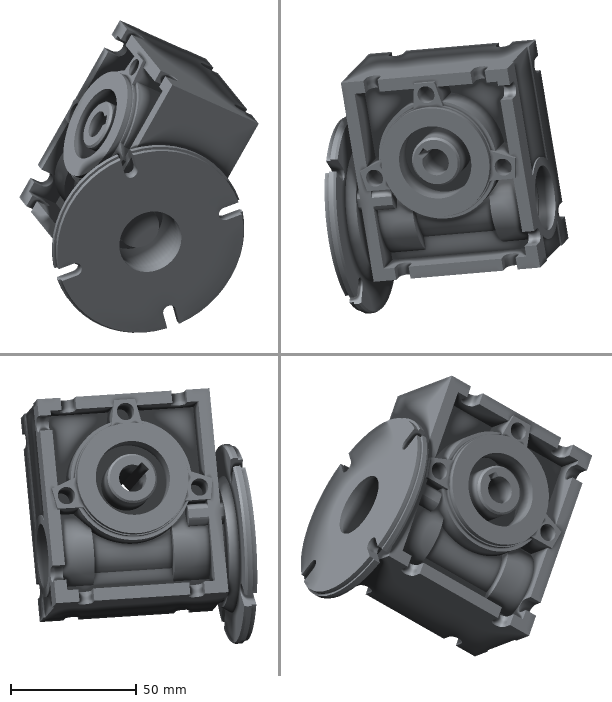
import cadquery as cq
import math

LEAN = 30.5
CENTRE_DISTANCE = 25.0

BOX_LENGTH = 70.0
BOX_WIDTH = 42.0
BOX_TOP = 60.0
BOX_BOTTOM = -23.0
WALL = 5.0
WEB_THICKNESS = 16.0
HALF_LENGTH = BOX_LENGTH / 2
HALF_WIDTH = BOX_WIDTH / 2
HALF_WEB = WEB_THICKNESS / 2
BOX_HEIGHT = BOX_TOP - BOX_BOTTOM
BOX_MIDDLE = (BOX_TOP + BOX_BOTTOM) / 2

SLOT_WIDTH = 6.0
SLOT_DEPTH = 7.0
SLOT_SPACING_X = 45.0
SIDE_SLOT_HEIGHTS = (50.25, -10.75)

RECESS_WIDTH = 22.0
RECESS_DEPTH = 0.7

TUBE_END_RADIUS = 16.5
SPIGOT_RADIUS = 17.0
TUBE_MIDDLE_RADIUS = 12.5
TUBE_MIDDLE_START = -17.0
TUBE_MIDDLE_END = 15.4
WORM_BORE_DIAMETER = 20.0
BEARING_DIAMETER = 26.0
BEARING_SEAT_DEPTH = 15.0
RING_GROOVE_DIAMETER = 27.0
RING_GROOVE_START = 5.8
RING_GROOVE_WIDTH = 1.2

BOSS_RADIUS = 24.5
BOSS_FACE = 21.0
COLLAR_RADIUS = 23.0
COLLAR_FACE = 22.5
RING_DIAMETER = 45.0
RING_FACE = 25.0
OUTPUT_BORE_DIAMETER = 30.0
CAVITY_RADIUS = 20.5
CAVITY_HALF_WIDTH = 15.0

EAR_ANGLES = (90.0, -10.5, 190.5)
EAR_BOLT_RADIUS = 27.5
EAR_HOLE_DIAMETER = 7.0
EAR_TIP_RADIUS = 32.4
EAR_TIP_WIDTH = 8.5
EAR_ROOT_RADIUS = 20.0
EAR_ROOT_WIDTH = 13.3

STANDOFF_RADIUS = 4.4
STANDOFF_CIRCLE_RADIUS = 19.6
STANDOFF_ANGLES = (30.0, 150.0, 270.0)
STANDOFF_START = 21.8
STANDOFF_END = 36.3

FLANGE_RADIUS = 40.0
FLANGE_LIP_RADIUS = 39.0
FLANGE_DISC_START = 40.0
FLANGE_LIP_START = 43.0
FLANGE_END = 45.0
FLANGE_CHAMFER_LENGTH = 1.0
FLANGE_CHAMFER_HEIGHT = 0.5
CONE_START_RADIUS = 25.0
CONE_END_RADIUS = 27.4
FLANGE_BORE_DIAMETER = 26.0
FLANGE_SLOT_WIDTH = 5.5
FLANGE_SLOT_CIRCLE_RADIUS = 32.5
FLANGE_SLOT_ANGLES = (45.0, 135.0, 225.0, 315.0)

HUB_DIAMETER = 20.0
HUB_HALF_LENGTH = 24.5
HUB_CHAMFER = 0.8
OUTPUT_SHAFT_BORE = 11.0
KEY_WIDTH = 4.0
KEY_TOP = 7.3
KEY_ANGLE = 40.0
WHEEL_RADIUS = 19.4
WHEEL_WIDTH = 8.8
WHEEL_DISC_RADIUS = 14.0
WHEEL_DISC_WIDTH = 14.0

WORM_TIP_START = -26.5
WORM_TIP_RADIUS = 5.0
WORM_TIP_CHAMFER = 0.3
WORM_RADIUS = 6.7
WORM_CONE_START = 14.3
WORM_SHOULDER_START = 16.0
WORM_SHOULDER_RADIUS = 8.4
WORM_END = 30.0

SIDES = (-1, 1)


def worm_rod(start, end, radius):
    """Cylinder along the worm axis."""
    return cq.Workplane("YZ", origin=(start, 0, 0)).circle(radius).extrude(end - start)


def output_rod(half_length, radius):
    """Cylinder along the output axis, centred on the middle plane."""
    plane = cq.Workplane("XZ", origin=(0, 0, CENTRE_DISTANCE))
    return plane.circle(radius).extrude(half_length, both=True)


def box_shell():
    """Box with a deep pocket on each side, leaving a web in the middle."""
    box = cq.Workplane("XY").box(BOX_LENGTH, BOX_WIDTH, BOX_HEIGHT)
    pocket_depth = HALF_WIDTH - HALF_WEB
    pocket = cq.Workplane("XY").box(BOX_LENGTH - 2 * WALL, pocket_depth, BOX_HEIGHT - 2 * WALL)
    for side in SIDES:
        box = box.cut(pocket.translate((0, side * (HALF_WIDTH - pocket_depth / 2), 0)))
    return box.translate((0, 0, BOX_MIDDLE))


def screw_ear():
    """Tapered ear column through the web to both collar faces, pointing along +X."""
    outline = [
        (EAR_ROOT_RADIUS, -EAR_ROOT_WIDTH / 2),
        (EAR_TIP_RADIUS, -EAR_TIP_WIDTH / 2),
        (EAR_TIP_RADIUS, EAR_TIP_WIDTH / 2),
        (EAR_ROOT_RADIUS, EAR_ROOT_WIDTH / 2),
    ]
    return cq.Workplane("XZ").polyline(outline).close().extrude(COLLAR_FACE, both=True)


def add_ears(body):
    """Ears at both ends of the output boss; each pair is one column through the web."""
    for angle in EAR_ANGLES:
        ear = screw_ear().rotate((0, 0, 0), (0, 1, 0), -angle)
        body = body.union(ear.translate((0, 0, CENTRE_DISTANCE)))
    return body


def cut_ear_holes(body):
    """Blind screw holes in the ears, down to the web."""
    depth = COLLAR_FACE - HALF_WEB
    for angle in EAR_ANGLES:
        x = EAR_BOLT_RADIUS * math.cos(math.radians(angle))
        z = CENTRE_DISTANCE + EAR_BOLT_RADIUS * math.sin(math.radians(angle))
        hole = cq.Workplane("XZ").circle(EAR_HOLE_DIAMETER / 2).extrude(depth)
        body = body.cut(hole.translate((x, -HALF_WEB, z)))
        body = body.cut(hole.translate((x, COLLAR_FACE, z)))
    return body


def standoffs():
    """Three bosses along X, flush with the box sides and bottom, that stand proud of the +X face."""
    bosses = cq.Workplane("YZ", origin=(STANDOFF_START, 0, 0))
    centres = []
    for angle in STANDOFF_ANGLES:
        y = STANDOFF_CIRCLE_RADIUS * math.cos(math.radians(angle))
        z = STANDOFF_CIRCLE_RADIUS * math.sin(math.radians(angle))
        centres.append((y, z))
    bosses = bosses.pushPoints(centres).circle(STANDOFF_RADIUS).extrude(STANDOFF_END - STANDOFF_START)
    limits = cq.Workplane("XY").box(4 * STANDOFF_END, BOX_WIDTH, BOX_HEIGHT)
    return bosses.intersect(limits.translate((0, 0, BOX_MIDDLE)))


def cut_rim_slots(body):
    """Round-ended slots through the top and bottom walls and the -X wall."""
    slot_length = 2 * SLOT_DEPTH
    for side in SIDES:
        edge = side * HALF_WIDTH
        for x in (-SLOT_SPACING_X / 2, SLOT_SPACING_X / 2):
            for base in (BOX_BOTTOM, BOX_TOP - WALL):
                slot = cq.Workplane("XY", origin=(x, edge, base)).slot2D(slot_length, SLOT_WIDTH, 90)
                body = body.cut(slot.extrude(WALL))
        for z in SIDE_SLOT_HEIGHTS:
            slot = cq.Workplane("YZ", origin=(-HALF_LENGTH, edge, z)).slot2D(slot_length, SLOT_WIDTH)
            body = body.cut(slot.extrude(WALL))
    return body


def cut_face_recess(body):
    """Shallow band down the -X face, interrupted by the round pad at the bearing seat."""
    band = cq.Workplane("XY").box(RECESS_DEPTH, RECESS_WIDTH, BOX_HEIGHT)
    band = band.translate((-HALF_LENGTH + RECESS_DEPTH / 2, 0, BOX_MIDDLE))
    return body.cut(band.cut(worm_rod(-HALF_LENGTH, 0, TUBE_END_RADIUS)))


def cut_worm_bore(body):
    """Through bore, a bearing seat at each end and a retaining ring groove at the -X end."""
    body = body.cut(worm_rod(-HALF_LENGTH, STANDOFF_END, WORM_BORE_DIAMETER / 2))
    body = body.cut(worm_rod(-HALF_LENGTH, -HALF_LENGTH + BEARING_SEAT_DEPTH, BEARING_DIAMETER / 2))
    body = body.cut(worm_rod(HALF_LENGTH - BEARING_SEAT_DEPTH, STANDOFF_END, BEARING_DIAMETER / 2))
    groove = -HALF_LENGTH + RING_GROOVE_START
    return body.cut(worm_rod(groove, groove + RING_GROOVE_WIDTH, RING_GROOVE_DIAMETER / 2))


def make_housing():
    """Box, worm tube, output bosses, ears and standoffs, with all their openings."""
    body = box_shell()
    pocket_end = HALF_LENGTH - WALL
    body = body.union(worm_rod(-pocket_end, TUBE_MIDDLE_START, TUBE_END_RADIUS))
    body = body.union(worm_rod(TUBE_MIDDLE_START, TUBE_MIDDLE_END, TUBE_MIDDLE_RADIUS))
    body = body.union(worm_rod(TUBE_MIDDLE_END, STANDOFF_END, SPIGOT_RADIUS))
    body = body.union(output_rod(BOSS_FACE, BOSS_RADIUS))
    body = body.union(output_rod(COLLAR_FACE, COLLAR_RADIUS))
    body = body.union(output_rod(RING_FACE, RING_DIAMETER / 2))
    body = add_ears(body)
    body = body.union(standoffs())
    body = cut_ear_holes(body)
    body = body.cut(output_rod(RING_FACE, OUTPUT_BORE_DIAMETER / 2))
    body = body.cut(output_rod(CAVITY_HALF_WIDTH, CAVITY_RADIUS))
    body = cut_rim_slots(body)
    body = cut_face_recess(body)
    return cut_worm_bore(body)


def make_flange():
    """Disc on a short cone, with four open bolt slots."""
    bore = FLANGE_BORE_DIAMETER / 2
    profile = [
        (STANDOFF_END, bore),
        (STANDOFF_END, CONE_START_RADIUS),
        (FLANGE_DISC_START, CONE_END_RADIUS),
        (FLANGE_DISC_START, FLANGE_RADIUS - FLANGE_CHAMFER_HEIGHT),
        (FLANGE_DISC_START + FLANGE_CHAMFER_LENGTH, FLANGE_RADIUS),
        (FLANGE_LIP_START, FLANGE_RADIUS),
        (FLANGE_LIP_START, FLANGE_LIP_RADIUS),
        (FLANGE_END, FLANGE_LIP_RADIUS),
        (FLANGE_END, bore),
    ]
    flange = cq.Workplane("XY").polyline(profile).close().revolve(360, (0, 0, 0), (1, 0, 0))
    slot_length = FLANGE_RADIUS
    slot_centre = FLANGE_SLOT_CIRCLE_RADIUS - FLANGE_SLOT_WIDTH / 2 + slot_length / 2
    slot = cq.Workplane("YZ", origin=(FLANGE_DISC_START, 0, 0)).center(slot_centre, 0)
    slot = slot.slot2D(slot_length, FLANGE_SLOT_WIDTH).extrude(FLANGE_END - FLANGE_DISC_START)
    for angle in FLANGE_SLOT_ANGLES:
        flange = flange.cut(slot.rotate((0, 0, 0), (1, 0, 0), angle))
    return flange


def make_wheel():
    """Wheel on a hollow hub with a keyway, its rim hollowed to clear the worm."""
    wheel = output_rod(HUB_HALF_LENGTH, HUB_DIAMETER / 2).edges().chamfer(HUB_CHAMFER)
    wheel = wheel.union(output_rod(WHEEL_DISC_WIDTH / 2, WHEEL_DISC_RADIUS))
    wheel = wheel.union(output_rod(WHEEL_WIDTH / 2, WHEEL_RADIUS))
    throat = cq.Workplane("YZ").circle(WORM_RADIUS)
    wheel = wheel.cut(throat.revolve(360, (-1, CENTRE_DISTANCE, 0), (1, CENTRE_DISTANCE, 0)))
    wheel = wheel.cut(output_rod(HUB_HALF_LENGTH, OUTPUT_SHAFT_BORE / 2))
    keyway = cq.Workplane("XY").box(KEY_TOP, 2 * HUB_HALF_LENGTH, KEY_WIDTH)
    keyway = keyway.translate((KEY_TOP / 2, 0, 0)).rotate((0, 0, 0), (0, 1, 0), -KEY_ANGLE)
    return wheel.cut(keyway.translate((0, 0, CENTRE_DISTANCE)))


def make_worm():
    """Stepped worm shaft: chamfered tip, plain body and a coned shoulder."""
    profile = [
        (WORM_TIP_START, 0),
        (WORM_TIP_START, WORM_TIP_RADIUS - WORM_TIP_CHAMFER),
        (WORM_TIP_START + WORM_TIP_CHAMFER, WORM_TIP_RADIUS),
        (TUBE_MIDDLE_START, WORM_TIP_RADIUS),
        (TUBE_MIDDLE_START, WORM_RADIUS),
        (WORM_CONE_START, WORM_RADIUS),
        (WORM_SHOULDER_START, WORM_SHOULDER_RADIUS),
        (WORM_END, WORM_SHOULDER_RADIUS),
        (WORM_END, 0),
    ]
    return cq.Workplane("XY").polyline(profile).close().revolve(360, (0, 0, 0), (1, 0, 0))


def lean(body):
    """Lean an upright body into its final position."""
    return body.rotate((0, 0, 0), (1, 0, 0), -LEAN)


housing = lean(make_housing())
flange = lean(make_flange())
wheel = lean(make_wheel())
worm = lean(make_worm())

result = cq.Compound.makeCompound([housing.val(), flange.val(), wheel.val(), worm.val()])